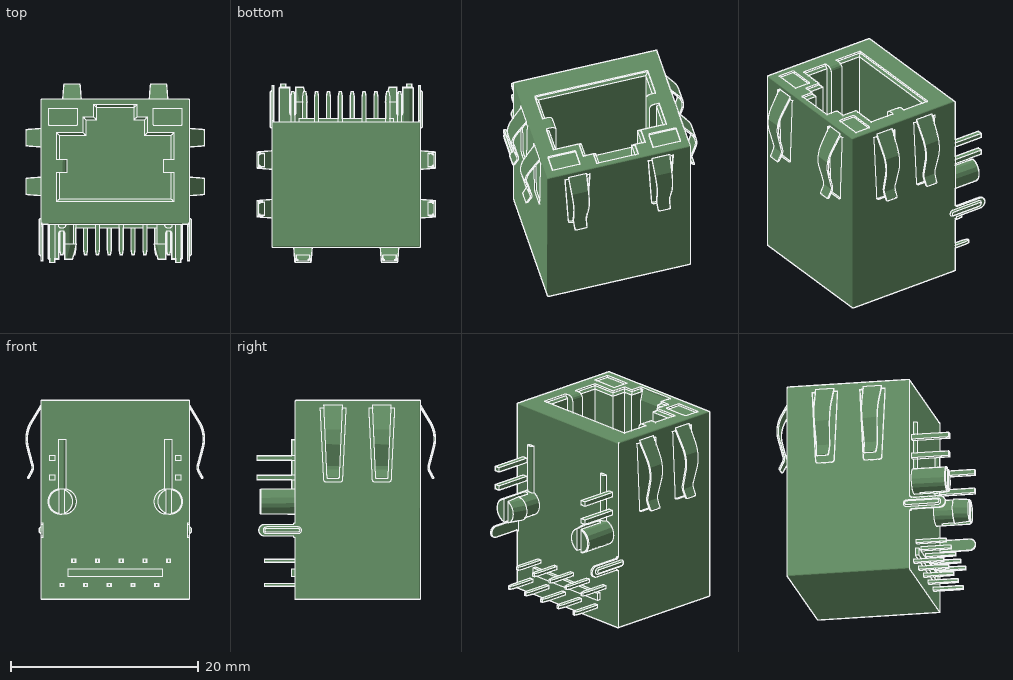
import cadquery as cq
import math


width = 15.91
depth = 13.42
height = 21.3
bend_radius = 0.17
sheet = 0.21
side = width / 2

mouth_half_widths = (6.26, 3.43, 2.3)
mouth_levels = (2.43, 9.8, 11.48, 12.8)
mouth_lip = 0.21
mouth_slope_width = 0.3
mouth_slope_height = 0.23
latch_slope_height = 1.17
cavity_floor = 8.52

guide_width = 1.4
guide_center_y = 6.25
guide_inner_x = 5.18
guide_round = 0.58

window_size = (3.05, 1.85)
window_center = (5.58, 11.48)
window_sink = 0.21
window_corner = 0.1

spring_reach = 1.6
spring_sheet = 0.17
spring_crest_z = 17.13
spring_bow_radius = 3.47
spring_upper_angle = 31
spring_lower_angle = 15
spring_straight = 1.98
spring_hook_radius = 0.85
spring_hook_angle = 28
spring_tip_straight = 0.79
spring_root_width = 2.05
spring_tip_width = 1.32
spring_tip_corner = 0.17
spring_tip_z = 12.9
opening_top_z = 20.47
opening_bottom_z = 12.52
opening_top_width = 2.77
opening_bottom_width = 2.0
opening_corner = 0.3
side_spring_levels = (4.07, 9.27)
back_spring_x = 4.62

post_x = 5.81
post_z = 10.45
post_radius = 1.36
post_tip_radius = 1.32
post_tip_shift = 0.36
post_tip_chamfer = 0.09
post_barb = 0.3
post_length = 3.73
post_barb_start = 2.1
post_slot_width = 0.62
post_slot_floor_round = 0.3
post_slot_x = 5.7
post_slot_floor = 0.68
rib_x = 5.67
rib_width = 0.77
rib_height = 0.36
rib_top_z = 17.06
rib_outer_round = 0.21
rib_inner_round = 0.3

led_pin_x = 6.73
led_pin_levels = (13.01, 15.1)
led_pin_size = (0.58, 0.51)
led_pin_length = 4.07

pin_pitch = 2.53
pins_per_row = 5
pin_rows = ((4.13, 1), (1.55, -1))
pin_size = (0.45, 0.35)
pin_length = 3.25
pin_tip_length = 0.51
pin_tip_width = 0.25

bar_width = 10.05
bar_thickness = 0.8
bar_height = 0.38
bar_z = 2.85

tab_z = 7.4
tab_width = 1.25
tab_length = 3.88
tab_root_fillet = 0.17
bead_width = 0.75
bead_height = 0.17
bead_start_y = 0.68
bead_end_y = -3.39
bead_taper_angle = 44


def both_sides(shape):
    """Return the shape together with its mirror image across X = 0."""
    return shape.union(shape.mirror("YZ"))


def centered_box(x, y, z, x_size, y_size, z_size):
    return cq.Workplane("XY").box(x_size, y_size, z_size).translate((x, y, z))


def peg(x, z, x_size, z_size, length):
    """Return a straight rectangular peg standing on the board side."""
    return centered_box(x, -length / 2, z, x_size, length, z_size)


def shield_box():
    box = cq.Workplane("XY").box(width, depth, height, centered=(True, False, False))
    return box.edges(">Z or (>Y and |Z) or (<Z and (not <Y))").fillet(bend_radius)


def mouth_outline(inset):
    """Return the stepped mouth outline, moved inwards by the inset."""
    wide, middle, narrow = (half_width - inset for half_width in mouth_half_widths)
    bottom = mouth_levels[0] + inset
    shoulder, step, top = (level - inset for level in mouth_levels[1:])
    right = [(wide, bottom), (wide, shoulder), (middle, shoulder), (middle, step), (narrow, step), (narrow, top)]
    left = [(-x, y) for x, y in reversed(right)]
    return right + left


def mouth_cavity():
    slope_top = height - mouth_lip
    slope_bottom = slope_top - mouth_slope_height
    lip = cq.Workplane("XY", origin=(0, 0, slope_top)).polyline(mouth_outline(0)).close().extrude(mouth_lip)
    slope = (
        cq.Workplane("XY", origin=(0, 0, slope_bottom))
        .polyline(mouth_outline(mouth_slope_width)).close()
        .workplane(offset=mouth_slope_height)
        .polyline(mouth_outline(0)).close()
        .loft(ruled=True)
    )
    cavity = (
        cq.Workplane("XY", origin=(0, 0, cavity_floor))
        .polyline(mouth_outline(mouth_slope_width)).close()
        .extrude(slope_bottom - cavity_floor)
    )
    return lip.union(slope).union(cavity)


def latch_slope():
    """Return the long lead-in slope on the back wall of the latch slot."""
    half_width = mouth_half_widths[2] - mouth_slope_width
    back = mouth_levels[3]
    top = height - mouth_lip
    profile = [(back, top), (back - mouth_slope_width, top), (back - mouth_slope_width, top - latch_slope_height)]
    return cq.Workplane("YZ").polyline(profile).close().extrude(half_width, both=True)


def guide_bar():
    outer_x = mouth_half_widths[0]
    thickness = outer_x - guide_inner_x
    bar = centered_box(
        guide_inner_x + thickness / 2, guide_center_y, (height + cavity_floor) / 2,
        thickness, guide_width, height - cavity_floor,
    )
    return bar.edges("<X and >Z").fillet(guide_round)


def indicator_window():
    window = centered_box(*window_center, height - window_sink / 2, *window_size, window_sink)
    return window.edges("|Z and <Y").fillet(window_corner)


def tapered_outline(top_z, bottom_z, top_width, bottom_width):
    """Return a trapezoid in the YZ plane, symmetrical about Y = 0."""
    points = [
        (-top_width / 2, top_z), (top_width / 2, top_z),
        (bottom_width / 2, bottom_z), (-bottom_width / 2, bottom_z),
    ]
    return cq.Workplane("YZ").polyline(points).close()


def spring_opening():
    """Return the shield opening behind a spring, on a wall at X = 0 facing +X."""
    opening = tapered_outline(opening_top_z, opening_bottom_z, opening_top_width, opening_bottom_width)
    return opening.extrude(-sheet).edges("|X and <Z").fillet(opening_corner)


def sine(degrees):
    return math.sin(math.radians(degrees))


def step_from(point, distance, degrees):
    """Return the point a given distance away, at an angle counted from the first axis."""
    angle = math.radians(degrees)
    return (point[0] + distance * math.cos(angle), point[1] + distance * math.sin(angle))


def spring_leaf():
    """Return a wavy, tapering spring on a wall at X = 0, reaching towards +X."""
    crest = spring_reach - spring_sheet / 2
    bow_center = (crest - spring_bow_radius, spring_crest_z)
    bow_top = step_from(bow_center, spring_bow_radius, spring_upper_angle)
    bow_bottom = step_from(bow_center, spring_bow_radius, -spring_lower_angle)
    root = step_from(bow_top, (bow_top[0] + sheet) / sine(spring_upper_angle), spring_upper_angle + 90)
    hook_top = step_from(bow_bottom, spring_straight, -spring_lower_angle - 90)
    hook_center = step_from(hook_top, spring_hook_radius, -spring_lower_angle)
    hook_middle = step_from(hook_center, spring_hook_radius, 180)
    hook_bottom = step_from(hook_center, spring_hook_radius, 180 + spring_hook_angle)
    tip = step_from(hook_bottom, spring_tip_straight, spring_hook_angle - 90)
    strip = (
        cq.Workplane("XZ", origin=(0, spring_root_width / 2, 0))
        .moveTo(*root)
        .lineTo(*bow_top)
        .threePointArc((crest, spring_crest_z), bow_bottom)
        .lineTo(*hook_top)
        .threePointArc(hook_middle, hook_bottom)
        .lineTo(*tip)
        .offset2D(spring_sheet / 2)
        .extrude(spring_root_width)
    )
    blank = tapered_outline(height, spring_tip_z, spring_root_width, spring_tip_width)
    blank = blank.extrude(spring_reach, both=True).edges("|X and <Z").fillet(spring_tip_corner)
    return strip.intersect(blank)


def on_side_wall(shape, y):
    return both_sides(shape.translate((side, y, 0)))


def on_back_wall(shape):
    return both_sides(shape.rotate((0, 0, 0), (0, 0, 1), 90).translate((back_spring_x, depth, 0)))


def at_all_springs(shape):
    """Place a wall feature at each spring position."""
    placed = on_back_wall(shape)
    for y in side_spring_levels:
        placed = placed.union(on_side_wall(shape, y))
    return placed


def locating_post():
    """Return a slotted round post whose inner half ends in a barb that tapers towards the tip."""
    post = cq.Workplane("XZ").center(post_x, post_z).circle(post_radius).extrude(post_length)
    post = post.faces("<Y").chamfer(post_tip_chamfer)
    barb_length = post_length - post_barb_start
    barb = (
        cq.Workplane("XZ", origin=(0, -post_barb_start, 0))
        .center(post_x - post_barb, post_z).circle(post_radius)
        .workplane(offset=barb_length)
        .center(post_tip_shift, 0).circle(post_tip_radius)
        .loft()
    )
    inner_end = centered_box(
        post_slot_x - post_radius, -post_barb_start - barb_length / 2, post_z,
        2 * post_radius, barb_length, 2 * post_radius,
    )
    post = post.cut(inner_end).union(barb.intersect(inner_end))
    slot_depth = post_length - post_slot_floor
    slot = centered_box(
        post_slot_x, -post_slot_floor - slot_depth / 2, post_z,
        post_slot_width, slot_depth, 2 * post_radius,
    )
    slot = slot.edges("|Z and >Y").fillet(post_slot_floor_round)
    return post.cut(slot)


def post_rib():
    rib_length = rib_top_z - post_z
    rib = peg(rib_x, post_z + rib_length / 2, rib_width, rib_length, rib_height)
    rib = rib.edges("<Y and >X").fillet(rib_outer_round)
    return rib.edges("<Y and <X").fillet(rib_inner_round)


def signal_pin(x, z):
    straight = pin_length - pin_tip_length
    tip = (
        cq.Workplane("XZ", origin=(x, -straight, z))
        .rect(*pin_size)
        .workplane(offset=pin_tip_length)
        .rect(pin_tip_width, pin_size[1])
        .loft(ruled=True)
    )
    return peg(x, z, *pin_size, straight).union(tip)


def grounding_tab():
    """Return a round-ended tab continuing the side wall, with a raised bead along it."""
    radius = tab_width / 2
    inner_x = side - sheet
    tab = (
        cq.Workplane("YZ", origin=(inner_x, 0, 0))
        .moveTo(0, tab_z + radius)
        .lineTo(radius - tab_length, tab_z + radius)
        .threePointArc((-tab_length, tab_z), (radius - tab_length, tab_z - radius))
        .lineTo(0, tab_z - radius)
        .close()
        .extrude(sheet)
    )
    for direction in (1, -1):
        edge_z = tab_z + direction * radius
        tab = tab.union(
            cq.Workplane("YZ", origin=(inner_x, 0, 0))
            .moveTo(0, edge_z)
            .lineTo(-tab_root_fillet, edge_z)
            .radiusArc((0, edge_z + direction * tab_root_fillet), direction * tab_root_fillet)
            .close()
            .extrude(sheet)
        )
    bead = (
        cq.Workplane("YZ", origin=(side, (bead_start_y + bead_end_y) / 2, tab_z))
        .slot2D(bead_start_y - bead_end_y, bead_width)
        .extrude(bead_height, taper=bead_taper_angle)
    )
    return tab.union(bead)


jack = shield_box()
jack = jack.cut(mouth_cavity()).cut(latch_slope())
jack = jack.union(both_sides(guide_bar()))
jack = jack.cut(both_sides(indicator_window()))
jack = jack.cut(at_all_springs(spring_opening()))
jack = jack.union(at_all_springs(spring_leaf()))

jack = jack.union(both_sides(post_rib()))
jack = jack.union(both_sides(locating_post()))
jack = jack.union(both_sides(grounding_tab()))
for level in led_pin_levels:
    jack = jack.union(both_sides(peg(led_pin_x, level, *led_pin_size, led_pin_length)))
for row_z, row_side in pin_rows:
    for index in range(pins_per_row):
        pin_x = (index - (pins_per_row - 1) / 2 + row_side / 4) * pin_pitch
        jack = jack.union(signal_pin(pin_x, row_z))
jack = jack.union(peg(0, bar_z, bar_width, bar_thickness, bar_height))

result = jack